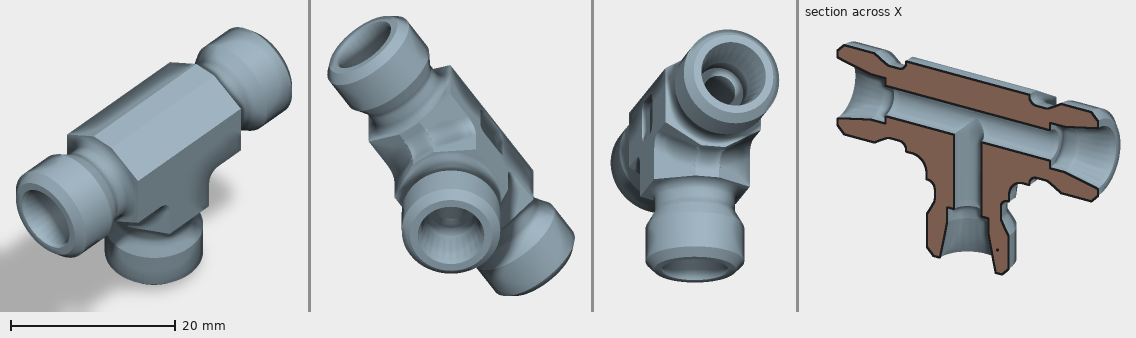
import cadquery as cq
import math

across_flats = 12.0
half_flats = across_flats / 2
corner_height = half_flats / math.sqrt(3)
corner_flat_distance = 6.06
run_half_length = 9.0
branch_body_length = 9.0
junction_fillet = 2.0

end_length = 10.0
thread_radius = 6.0
neck_radius = 9.7 / 2
neck_base_fillet = 1.0
shoulder_slope = math.radians(30)
shoulder_outer_position = 4.6
shoulder_fillet = 1.0
end_chamfer = 1.0

through_bore_diameter = 4.0
tube_socket_diameter = 6.0
tube_socket_depth = 7.0
mouth_diameter = 8.1
mouth_half_angle = math.radians(12)
mouth_depth = (mouth_diameter - tube_socket_diameter) / 2 / math.tan(mouth_half_angle)

recess_size = 5.0
recess_corner_radius = 1.0
recess_depth = 1.0

ends = [
    ((0, -run_half_length, 0), (0, -1, 0), run_half_length),
    ((0, run_half_length, 0), (0, 1, 0), run_half_length),
    ((0, 0, -branch_body_length), (0, 0, -1), branch_body_length),
]


def bar_section_points():
    """Hexagon with flats at +/-X, its two remaining corners cut by flats."""
    hexagon_peak = 2 * corner_height
    flat_half_width = (hexagon_peak - corner_flat_distance) * math.sqrt(3)
    upper = [
        (half_flats, corner_height),
        (flat_half_width, corner_flat_distance),
        (-flat_half_width, corner_flat_distance),
        (-half_flats, corner_height),
    ]
    lower = [(-x, -height) for x, height in upper]
    return upper + lower


def make_body():
    """Run bar along Y joined to the branch bar along -Z, with filleted inner corners."""
    section = bar_section_points()
    run = cq.Workplane("XZ").polyline(section).close().extrude(run_half_length, both=True)
    branch = cq.Workplane("XY").polyline(section).close().extrude(-branch_body_length)
    body = run.union(branch).clean()

    selection_margin = 0.1
    for side in (-1, 1):
        near = side * (corner_height - selection_margin)
        far = side * (corner_flat_distance + selection_margin)
        junction = cq.selectors.BoxSelector(
            (-across_flats, near, -corner_height + selection_margin),
            (across_flats, far, -corner_flat_distance - selection_margin),
            boundingbox=True,
        )
        body = body.edges(junction).fillet(junction_fillet)
    return body


def revolve_from_face(profile, face_centre, direction):
    """Revolve a (radius, distance) outline and point its axis along an end's direction."""
    solid = profile.close().revolve(360, (0, 0, 0), (0, 1, 0)).val()
    plane = cq.Plane(origin=face_centre, xDir=(1, 0, 0), normal=direction)
    return cq.Workplane(solid.moved(cq.Location(plane)))


def make_end(face_centre, direction):
    """Neck with a flared base, conical shoulder, threaded cylinder and end chamfer."""
    flare_radius = neck_radius + neck_base_fillet
    flare_middle = (
        flare_radius - neck_base_fillet * math.sqrt(0.5),
        neck_base_fillet * (1 - math.sqrt(0.5)),
    )
    shoulder_length = (thread_radius - neck_radius) / math.tan(shoulder_slope)
    tangent_length = shoulder_fillet * math.tan(shoulder_slope / 2)
    shoulder_arc_start = shoulder_outer_position - shoulder_length - tangent_length

    def shoulder_arc_point(angle):
        return (
            neck_radius + shoulder_fillet * (1 - math.cos(angle)),
            shoulder_arc_start + shoulder_fillet * math.sin(angle),
        )

    profile = (
        cq.Workplane("XZ")
        .lineTo(flare_radius, 0)
        .threePointArc(flare_middle, (neck_radius, neck_base_fillet))
        .lineTo(neck_radius, shoulder_arc_start)
        .threePointArc(shoulder_arc_point(shoulder_slope / 2), shoulder_arc_point(shoulder_slope))
        .lineTo(thread_radius, shoulder_outer_position)
        .lineTo(thread_radius, end_length - end_chamfer)
        .lineTo(thread_radius - end_chamfer, end_length)
        .lineTo(0, end_length)
    )
    return revolve_from_face(profile, face_centre, direction)


def make_bore(face_centre, direction, body_length):
    """Conical mouth, tube socket and narrow bore reaching the middle of the tee."""
    bore_radius = through_bore_diameter / 2
    socket_radius = tube_socket_diameter / 2
    socket_floor = end_length - tube_socket_depth
    profile = (
        cq.Workplane("XZ")
        .moveTo(0, -body_length)
        .lineTo(bore_radius, -body_length)
        .lineTo(bore_radius, socket_floor)
        .lineTo(socket_radius, socket_floor)
        .lineTo(socket_radius, end_length - mouth_depth)
        .lineTo(mouth_diameter / 2, end_length)
        .lineTo(0, end_length)
    )
    return revolve_from_face(profile, face_centre, direction)


def make_recess():
    """Round-cornered square block sunk into the -X flat, centred on the tee."""
    return (
        cq.Workplane("YZ", origin=(-half_flats, 0, 0))
        .rect(recess_size, recess_size)
        .extrude(recess_depth)
        .edges("|X")
        .fillet(recess_corner_radius)
    )


result = make_body()
for face_centre, direction, _ in ends:
    result = result.union(make_end(face_centre, direction))
for face_centre, direction, body_length in ends:
    result = result.cut(make_bore(face_centre, direction, body_length))
result = result.cut(make_recess())